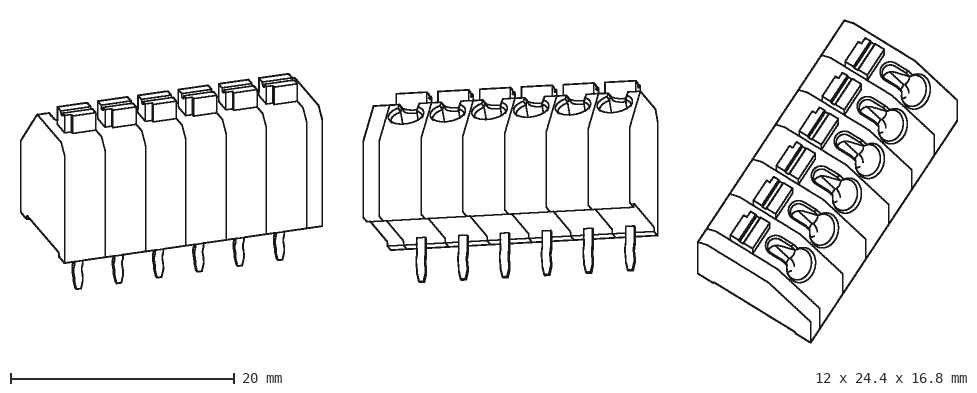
import cadquery as cq
import math

MODULE_COUNT = 6
ROW_LENGTH = 24.37
END_PLATE_WIDTH = 1.49
PITCH = (ROW_LENGTH - END_PLATE_WIDTH) / MODULE_COUNT

DEPTH = 12.0
HEIGHT = 11.45
FRONT_BEVEL = 4.48
BACK_BEVEL = 1.0
FOOT_LENGTH = 1.65
FOOT_HEIGHT = 0.4
EDGE_RADIUS = 0.2
SELECTION_MARGIN = 0.02

FEATURE_OFFSET = 1.78

HOLE_RADIUS = 1.41
HOLE_CENTER_X = 3.1
HOLE_CENTER_Z = HEIGHT - FRONT_BEVEL + HOLE_CENTER_X
HOLE_REACH = 7.3
SLOT_HALF_WIDTH = 0.73
SLOT_START_X = 3.65
SLOT_ARC_CENTER_X = 5.8
COUNTERSINK_WIDTH = 0.183
COUNTERSINK_DEPTH = 0.37
COUNTERSINK_TAPER = math.degrees(math.atan(COUNTERSINK_WIDTH / COUNTERSINK_DEPTH))
VALLEY_X = 4.85
VALLEY_Z = 6.7
FRONT_FLOOR_ANGLE = 30.0
FUNNEL_ANGLE = 32.0

BUTTON_HEIGHT = 1.7
BUTTON_WIDTH = 2.83
BUTTON_FRONT_X = 7.12
BUTTON_BACK_X = 9.45
BUTTON_NOTCH_DEPTH = 0.35
BUTTON_NOTCH_WIDTH = 0.63
GROOVE_DEPTH = 0.32
GROOVE_TOP = (8.07, 8.58)
GROOVE_FLOOR = (8.15, 8.48)

PIN_FRONT_X = 9.5
PIN_THICKNESS = 0.41
PIN_WIDTH = 0.78
PIN_TIP_WIDTH = 0.45
PIN_TIP_Z = -3.63
PIN_TAPER_Z = -2.88
KINK_TOP_Z = -1.0
KINK_LENGTH = 1.7
KINK_DEPTH = 0.3
KINK_END_RADIUS = 0.54
KINK_ANGLE = 2 * math.atan(2 * KINK_DEPTH / KINK_LENGTH)
KINK_RADIUS_SUM = KINK_LENGTH / 2 / math.sin(KINK_ANGLE)


def housing_slice(width, back_y):
    """Plain housing profile, extruded from back_y towards -Y."""
    profile = (
        cq.Workplane("XZ", origin=(0, back_y, 0))
        .moveTo(0, 0)
        .lineTo(0, HEIGHT - FRONT_BEVEL)
        .lineTo(FRONT_BEVEL, HEIGHT)
        .lineTo(DEPTH - BACK_BEVEL, HEIGHT)
        .lineTo(DEPTH, HEIGHT - BACK_BEVEL)
        .lineTo(DEPTH, 0)
        .lineTo(DEPTH - FOOT_LENGTH, 0)
        .lineTo(DEPTH - FOOT_LENGTH, FOOT_HEIGHT)
        .lineTo(FOOT_LENGTH, FOOT_HEIGHT)
        .lineTo(FOOT_LENGTH, 0)
        .close()
        .extrude(width)
    )
    inner_foot_edges = cq.selectors.BoxSelector(
        (FOOT_LENGTH - SELECTION_MARGIN, back_y - width, -SELECTION_MARGIN),
        (DEPTH - FOOT_LENGTH + SELECTION_MARGIN, back_y, SELECTION_MARGIN),
    )
    long_edges = cq.selectors.ParallelDirSelector(cq.Vector(0, 1, 0))
    rounded_edges = cq.selectors.SubtractSelector(long_edges, inner_foot_edges)
    return profile.edges(rounded_edges).fillet(EDGE_RADIUS)


def slot_outline(half_width, z, y):
    """Slot on a horizontal plane, from inside the hole to a round end."""
    return (
        cq.Workplane("XY", origin=(0, y, z))
        .moveTo(SLOT_START_X, -half_width)
        .lineTo(SLOT_ARC_CENTER_X, -half_width)
        .threePointArc((SLOT_ARC_CENTER_X + half_width, 0), (SLOT_ARC_CENTER_X, half_width))
        .lineTo(SLOT_START_X, half_width)
        .close()
    )


def bevel_plane(y):
    """Plane on the front bevel at the hole centre: x along Y, y up the bevel, normal outwards."""
    return cq.Workplane(cq.Plane(
        origin=(HOLE_CENTER_X, y, HOLE_CENTER_Z), xDir=(0, -1, 0), normal=(-1, 0, 1)
    ))


def wire_entry(y):
    """Cutter for the wire hole with its slot, narrowing floor and countersinks."""
    hole = bevel_plane(y).circle(HOLE_RADIUS).extrude(-HOLE_REACH)

    slot_base_z = HOLE_CENTER_Z + HOLE_CENTER_X - VALLEY_X
    slot = slot_outline(SLOT_HALF_WIDTH, slot_base_z, y).extrude(HEIGHT - slot_base_z)

    front_rise = VALLEY_X * math.tan(math.radians(FRONT_FLOOR_ANGLE))
    back_run = HEIGHT - VALLEY_Z
    above_floor = (
        cq.Workplane("XZ", origin=(0, y + PITCH / 2, 0))
        .moveTo(VALLEY_X, VALLEY_Z)
        .lineTo(VALLEY_X + back_run, HEIGHT)
        .lineTo(0, HEIGHT)
        .lineTo(0, VALLEY_Z + front_rise)
        .close()
        .extrude(PITCH)
    )

    valley_depth = (VALLEY_X - HOLE_CENTER_X + HOLE_CENTER_Z - VALLEY_Z) / math.sqrt(2)
    funnel_length = (HOLE_RADIUS - SLOT_HALF_WIDTH) / math.tan(math.radians(FUNNEL_ANGLE))
    funnel = (
        cq.Workplane(cq.Plane(
            origin=(HOLE_CENTER_X, y, HOLE_CENTER_Z), xDir=(0, 1, 0), normal=(1, 0, 1)
        ))
        .moveTo(-SLOT_HALF_WIDTH, -valley_depth)
        .lineTo(-HOLE_RADIUS, funnel_length - valley_depth)
        .lineTo(-HOLE_RADIUS, HOLE_REACH)
        .lineTo(HOLE_RADIUS, HOLE_REACH)
        .lineTo(HOLE_RADIUS, funnel_length - valley_depth)
        .lineTo(SLOT_HALF_WIDTH, -valley_depth)
        .close()
        .extrude(HOLE_REACH, both=True)
    )
    cavity = hole.union(slot).intersect(above_floor).intersect(funnel)

    hole_countersink = (
        bevel_plane(y)
        .circle(HOLE_RADIUS + COUNTERSINK_WIDTH)
        .extrude(-COUNTERSINK_DEPTH, taper=COUNTERSINK_TAPER)
    )
    slot_countersink = (
        slot_outline(SLOT_HALF_WIDTH + COUNTERSINK_WIDTH, HEIGHT, y)
        .extrude(-COUNTERSINK_DEPTH, taper=COUNTERSINK_TAPER)
    )
    bevel_countersink = (
        bevel_plane(y)
        .center(0, HOLE_RADIUS)
        .rect(2 * (SLOT_HALF_WIDTH + COUNTERSINK_WIDTH), 2 * HOLE_RADIUS)
        .extrude(-COUNTERSINK_DEPTH, taper=COUNTERSINK_TAPER)
    )
    return cavity.union(hole_countersink).union(slot_countersink).union(bevel_countersink)


def push_button(back_y):
    """Button block on the top face, with a screwdriver groove and a notched back corner."""
    top_z = HEIGHT + BUTTON_HEIGHT
    front_y = back_y - BUTTON_WIDTH
    block = (
        cq.Workplane("XY", origin=(0, 0, HEIGHT))
        .moveTo(BUTTON_FRONT_X, back_y)
        .lineTo(BUTTON_BACK_X, back_y)
        .lineTo(BUTTON_BACK_X, front_y + BUTTON_NOTCH_WIDTH)
        .lineTo(BUTTON_BACK_X - BUTTON_NOTCH_DEPTH, front_y + BUTTON_NOTCH_WIDTH)
        .lineTo(BUTTON_BACK_X - BUTTON_NOTCH_DEPTH, front_y)
        .lineTo(BUTTON_FRONT_X, front_y)
        .close()
        .extrude(BUTTON_HEIGHT)
    )
    groove = (
        cq.Workplane("XZ", origin=(0, back_y, 0))
        .moveTo(GROOVE_TOP[0], top_z)
        .lineTo(GROOVE_FLOOR[0], top_z - GROOVE_DEPTH)
        .lineTo(GROOVE_FLOOR[1], top_z - GROOVE_DEPTH)
        .lineTo(GROOVE_TOP[1], top_z)
        .close()
        .extrude(BUTTON_WIDTH)
    )
    return block.cut(groove)


def kink_points(x, end_radius):
    """Ends and midpoints of the three tangent arcs of one kinked pin face, from top to bottom."""
    crest_radius = KINK_RADIUS_SUM - end_radius
    middle_z = KINK_TOP_Z - KINK_LENGTH / 2
    crest_x = x - KINK_DEPTH
    mid_x = x - end_radius * (1 - math.cos(KINK_ANGLE / 2))
    mid_z = KINK_TOP_Z - end_radius * math.sin(KINK_ANGLE / 2)
    join_x = crest_x + crest_radius * (1 - math.cos(KINK_ANGLE))
    join_z = middle_z + crest_radius * math.sin(KINK_ANGLE)
    upper = [(x, KINK_TOP_Z), (mid_x, mid_z), (join_x, join_z)]
    lower = [(px, 2 * middle_z - pz) for px, pz in reversed(upper)]
    return upper + [(crest_x, middle_z)] + lower


def solder_pin(y):
    """Flat pin with a kink towards -X and a tip that narrows in Y."""
    back_x = PIN_FRONT_X + PIN_THICKNESS
    front = kink_points(PIN_FRONT_X, KINK_END_RADIUS)
    back = kink_points(back_x, KINK_END_RADIUS + PIN_THICKNESS)[::-1]

    strip = (
        cq.Workplane("XZ", origin=(0, y + PIN_WIDTH / 2, 0))
        .moveTo(PIN_FRONT_X, FOOT_HEIGHT)
        .lineTo(*front[0])
        .threePointArc(front[1], front[2])
        .threePointArc(front[3], front[4])
        .threePointArc(front[5], front[6])
        .lineTo(PIN_FRONT_X, PIN_TIP_Z)
        .lineTo(back_x, PIN_TIP_Z)
        .lineTo(*back[0])
        .threePointArc(back[1], back[2])
        .threePointArc(back[3], back[4])
        .threePointArc(back[5], back[6])
        .lineTo(back_x, FOOT_HEIGHT)
        .close()
        .extrude(PIN_WIDTH)
    )
    width_outline = (
        cq.Workplane("YZ", origin=(0, y, 0))
        .moveTo(-PIN_WIDTH / 2, FOOT_HEIGHT)
        .lineTo(-PIN_WIDTH / 2, PIN_TAPER_Z)
        .lineTo(-PIN_TIP_WIDTH / 2, PIN_TIP_Z)
        .lineTo(PIN_TIP_WIDTH / 2, PIN_TIP_Z)
        .lineTo(PIN_WIDTH / 2, PIN_TAPER_Z)
        .lineTo(PIN_WIDTH / 2, FOOT_HEIGHT)
        .close()
        .extrude(DEPTH)
    )
    return strip.intersect(width_outline)


def terminal_module(back_y):
    """One pole: housing slice with its wire entry, button and solder pin."""
    feature_y = back_y - FEATURE_OFFSET
    return (
        housing_slice(PITCH, back_y)
        .cut(wire_entry(feature_y))
        .union(push_button(back_y))
        .union(solder_pin(feature_y))
    )


end_plate = housing_slice(END_PLATE_WIDTH, ROW_LENGTH)
modules = [terminal_module((i + 1) * PITCH) for i in range(MODULE_COUNT)]

result = cq.Compound.makeCompound([end_plate.val(), *[module.val() for module in modules]])